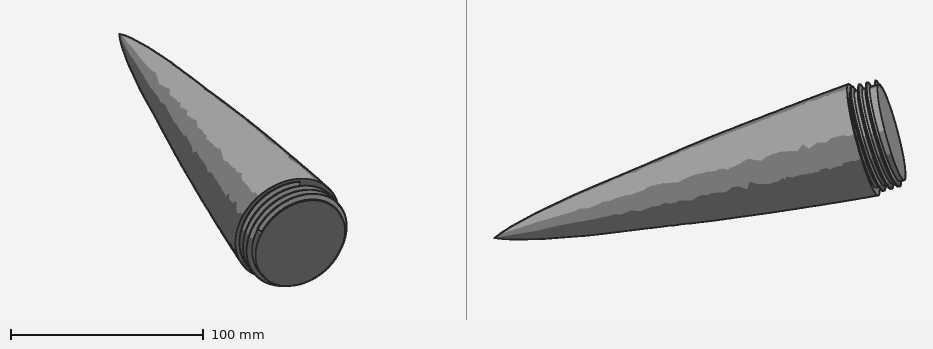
import cadquery as cq

total_length = 215.0
neck_length = 15.3
cone_length = total_length - neck_length
base_diameter = 60.0
base_radius = base_diameter / 2
neck_radius = 25.8

two_turn_advance = 8.4
thread_pitch = two_turn_advance / 2
thread_turns = 3.2
thread_crest_radius = 28.4
thread_foot_width = 2.8
thread_crest_width = 0.5
thread_overlap = 0.5
thread_end = 213.5
thread_end_angle = 58.0

tip = (0, 0)
cone_side = [
    (10.3, 3.7),
    (20.6, 6.2),
    (41.5, 10.3),
    (72.7, 14.8),
    (103.8, 19.4),
    (145.3, 24.5),
    (cone_length, base_radius),
]


def make_body():
    """Solid pointed cone with a stepped-down cylindrical neck."""
    return (
        cq.Workplane("XY")
        .moveTo(*tip)
        .spline(cone_side, includeCurrent=True)
        .lineTo(cone_length, neck_radius)
        .lineTo(total_length, neck_radius)
        .lineTo(total_length, 0)
        .close()
        .revolve(360, (0, 0), (1, 0))
    )


def make_thread():
    """Right-handed ridge that starts at the shoulder and ends near the neck's end."""
    axial_travel = thread_pitch * thread_turns
    foot_radius = neck_radius - thread_overlap
    path = cq.Wire.makeHelix(thread_pitch, axial_travel, neck_radius)
    ridge = (
        cq.Workplane("XZ")
        .polyline([
            (foot_radius, -thread_foot_width / 2),
            (thread_crest_radius, -thread_crest_width / 2),
            (thread_crest_radius, thread_crest_width / 2),
            (foot_radius, thread_foot_width / 2),
        ])
        .close()
        .sweep(cq.Workplane(path), isFrenet=True)
    )
    start_angle = 180 + thread_end_angle - 360 * thread_turns
    return (
        ridge.rotate((0, 0, 0), (0, 1, 0), 90)
        .rotate((0, 0, 0), (1, 0, 0), start_angle)
        .translate((thread_end - axial_travel, 0, 0))
    )


result = make_body().union(make_thread())